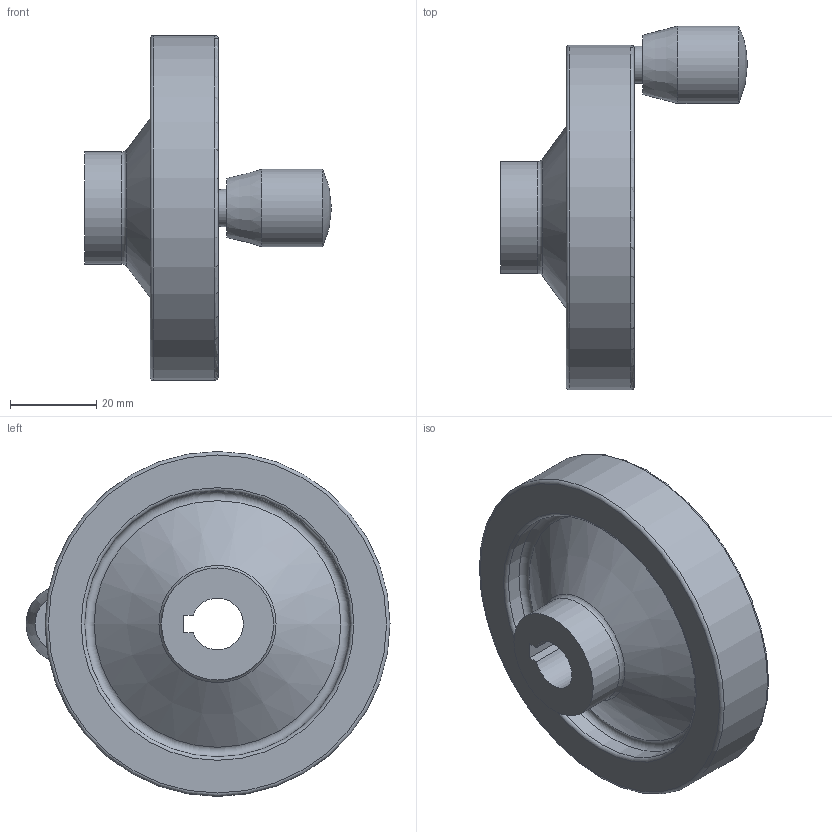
import cadquery as cq
import math


hub_diameter = 26.0
bore_diameter = 12.0
keyway_width = 4.0
keyway_reach = 7.8

rim_diameter = 80.0
rim_front = 15.2
rim_back = 31.0
rim_edge_radius = 0.8
recess_diameter = 61.64

web_start = 9.35
web_angle = 54.2
web_fillet = 1.4

handle_offset = 35.41
neck_diameter = 8.64
neck_end = 33.0
grip_diameter = 18.0
grip_base_diameter = 13.8
grip_taper_end = 41.1
grip_dome_start = 55.2
handle_end = 57.21



def make_wheel():
    """Hub, conical web and rim, with a solid flat back."""
    hub_radius = hub_diameter / 2
    rim_radius = rim_diameter / 2
    recess_radius = recess_diameter / 2
    web_length = (recess_radius - hub_radius) / math.tan(math.radians(web_angle))
    recess_floor = web_start + web_length

    half_profile = cq.Sketch().polygon([
        (0, 0),
        (0, hub_radius),
        (web_start, hub_radius),
        (recess_floor, recess_radius),
        (rim_front, recess_radius),
        (rim_front, rim_radius),
        (rim_back, rim_radius),
        (rim_back, 0),
        (0, 0),
    ])
    web_corners = [(web_start, hub_radius), (recess_floor, recess_radius)]
    rim_corners = [(rim_front, recess_radius), (rim_front, rim_radius), (rim_back, rim_radius)]
    for corners, radius in ((web_corners, web_fillet), (rim_corners, rim_edge_radius)):
        for x, y in corners:
            corner = cq.NearestToPointSelector((x, y, 0))
            half_profile = half_profile.vertices(corner).fillet(radius).reset()
    return cq.Workplane("XY").placeSketch(half_profile).revolve(360, (0, 0, 0), (1, 0, 0))


def make_bore():
    """Through bore with one keyway on the +Y side."""
    bore = cq.Workplane("YZ").circle(bore_diameter / 2).extrude(rim_back)
    keyway = cq.Workplane("XY").box(
        rim_back, keyway_reach, keyway_width, centered=(False, False, True)
    )
    return bore.union(keyway)


def make_handle():
    """Neck, tapered grip and domed end, rooted inside the rim."""
    neck_radius = neck_diameter / 2
    grip_radius = grip_diameter / 2
    dome_height = handle_end - grip_dome_start
    dome_radius = (grip_radius**2 + dome_height**2) / (2 * dome_height)
    root = (rim_front + rim_back) / 2
    profile = (
        cq.Workplane("XY")
        .moveTo(root, 0)
        .lineTo(root, neck_radius)
        .lineTo(neck_end, neck_radius)
        .lineTo(neck_end, grip_base_diameter / 2)
        .lineTo(grip_taper_end, grip_radius)
        .lineTo(grip_dome_start, grip_radius)
        .radiusArc((handle_end, 0), dome_radius)
        .close()
    )
    handle = profile.revolve(360, (0, 0, 0), (1, 0, 0))
    return handle.translate((0, handle_offset, 0))


result = make_wheel().cut(make_bore()).union(make_handle())